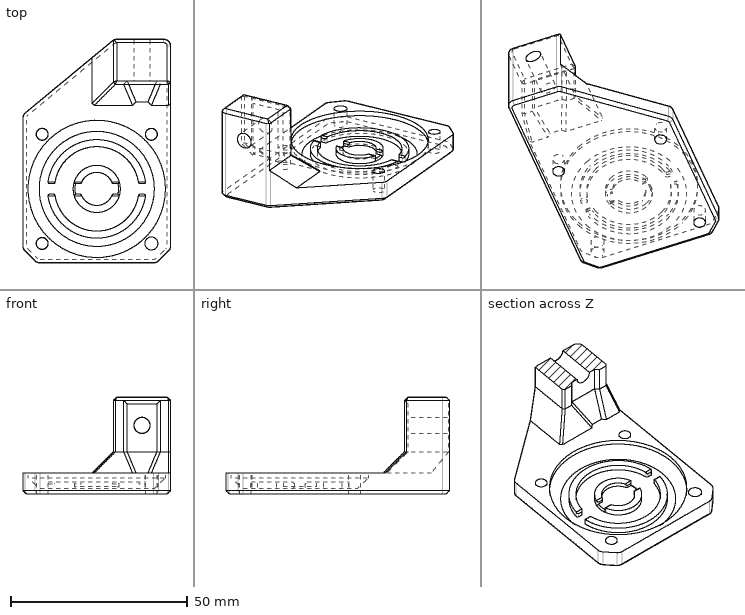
import cadquery as cq

plate_width = 42.0
front_y = -21.0
back_y = 42.5
plate_thickness = 6.0
front_corner_cut = 4.0
slope_start_y = 21.0
slope_end_x = 5.0
outline_radius = 2.0
edge_chamfer = 1.0
half_width = plate_width / 2

post_height = 27.55
post_left_x = 4.7
post_front_y = 29.7
foot_flare = 6.0
foot_top_z = plate_thickness + foot_flare
post_corner_chamfer = 0.6

post_center_x = (post_left_x + half_width) / 2
channel_mouth_half_width = 5.2
channel_foot_half_width = 2.7
channel_depth = 1.0
channel_top_z = post_height - edge_chamfer
post_hole_diameter = 4.5
post_hole_z = 19.5

screw_offset = 15.5
screw_diameter = 3.3
blind_hole_diameter = 3.7
blind_hole_depth = 5.0

bowl_diameter = 39.0
bowl_floor_radius = 16.35
bowl_rim_depth = 1.4
bowl_floor_z = 1.6

ring_height = 1.75
outer_ring_radii = (14.0, 12.0)
inner_ring_radii = (6.7, 4.7)
slot_width = 3.0
slot_chamfer = 0.5
ring_end_radius = 0.5
disc_height = 0.5
disc_chamfer = 0.5


def make_outline(height):
    """Plate outline with rounded corners, extruded up from z = 0."""
    prism = (
        cq.Workplane("XY")
        .moveTo(-half_width + front_corner_cut, front_y)
        .lineTo(half_width - front_corner_cut, front_y)
        .lineTo(half_width, front_y + front_corner_cut)
        .lineTo(half_width, back_y)
        .lineTo(slope_end_x, back_y)
        .lineTo(-half_width, slope_start_y)
        .lineTo(-half_width, front_y + front_corner_cut)
        .close()
        .extrude(height)
    )
    return prism.edges("|Z").fillet(outline_radius)


def ruled_solid(section_a, section_b):
    """Solid with flat sides between two matching loops of 3D points."""
    wires = [cq.Wire.makePolygon([cq.Vector(*p) for p in s], close=True) for s in (section_a, section_b)]
    return cq.Workplane(cq.Solid.makeLoft(wires, True))


def post_section(flare, z):
    """Post section with its front corners cut, grown by flare to the left and front."""
    left = post_left_x - flare
    front = post_front_y - flare
    cut = post_corner_chamfer
    return [
        (left + cut, front, z),
        (half_width - cut, front, z),
        (half_width, front + cut, z),
        (half_width, back_y, z),
        (left, back_y, z),
        (left, front + cut, z),
    ]


def make_post():
    foot = ruled_solid(post_section(foot_flare, plate_thickness), post_section(0, foot_top_z))
    shaft = cq.Workplane("XY").polyline(post_section(0, foot_top_z)).close().extrude(post_height - foot_top_z)
    shaft = shaft.edges("|Z and >X and >Y").fillet(outline_radius)
    shaft = shaft.faces(">Z").chamfer(edge_chamfer)
    return foot.union(shaft)


def channel_section(mouth_half_width, mouth_y, z):
    """Horizontal channel section with 45 degree sides."""
    floor_half_width = mouth_half_width - channel_depth
    floor_y = mouth_y + channel_depth
    return [
        (post_center_x - mouth_half_width, mouth_y, z),
        (post_center_x + mouth_half_width, mouth_y, z),
        (post_center_x + floor_half_width, floor_y, z),
        (post_center_x - floor_half_width, floor_y, z),
    ]


def channel_face(inset):
    """Upright channel rectangle, shrunk at the sides and top by its depth into the post."""
    half = channel_mouth_half_width - inset
    y = post_front_y + inset
    top = channel_top_z - inset
    return [
        (post_center_x - half, y, foot_top_z),
        (post_center_x + half, y, foot_top_z),
        (post_center_x + half, y, top),
        (post_center_x - half, y, top),
    ]


def make_channel():
    upper = ruled_solid(channel_face(0), channel_face(channel_depth))
    lower = ruled_solid(
        channel_section(channel_foot_half_width, post_front_y - foot_flare, plate_thickness),
        channel_section(channel_mouth_half_width, post_front_y, foot_top_z),
    )
    return upper.union(lower)


def make_post_hole():
    return (
        cq.Workplane("XZ", origin=(post_center_x, back_y, post_hole_z))
        .circle(post_hole_diameter / 2)
        .extrude(back_y - post_front_y)
    )


def make_screw_holes():
    through_points = [
        (-screw_offset, screw_offset),
        (screw_offset, screw_offset),
        (-screw_offset, -screw_offset),
    ]
    through = (
        cq.Workplane("XY")
        .pushPoints(through_points)
        .circle(screw_diameter / 2)
        .extrude(plate_thickness)
    )
    blind = (
        cq.Workplane("XY", origin=(screw_offset, -screw_offset, plate_thickness))
        .circle(blind_hole_diameter / 2)
        .extrude(-blind_hole_depth)
    )
    return through.union(blind)


def make_bowl():
    rim_radius = bowl_diameter / 2
    return (
        cq.Workplane("XZ")
        .moveTo(0, bowl_floor_z)
        .lineTo(bowl_floor_radius, bowl_floor_z)
        .lineTo(rim_radius, plate_thickness - bowl_rim_depth)
        .lineTo(rim_radius, plate_thickness)
        .lineTo(0, plate_thickness)
        .close()
        .revolve(360, (0, 0, 0), (0, 1, 0))
    )


def make_slot():
    """Straight slot along X across a ring, from the bowl floor up."""
    slot = cq.Workplane("XY", origin=(0, 0, bowl_floor_z))
    return slot.rect(bowl_diameter, slot_width).extrude(ring_height)


def make_slot_bevel():
    """Flared top of the slot, cutting the chamfers on the ring ends."""
    top_z = bowl_floor_z + ring_height
    half_slot = slot_width / 2
    return (
        cq.Workplane("YZ", origin=(-bowl_diameter / 2, 0, 0))
        .moveTo(-half_slot, top_z - slot_chamfer)
        .lineTo(half_slot, top_z - slot_chamfer)
        .lineTo(half_slot + slot_chamfer, top_z)
        .lineTo(-half_slot - slot_chamfer, top_z)
        .close()
        .extrude(bowl_diameter)
    )


def make_split_ring(radii):
    """Ring in two halves, with rounded upright corners and chamfered tops at the slot."""
    ring = (
        cq.Workplane("XY", origin=(0, 0, bowl_floor_z))
        .circle(radii[0])
        .circle(radii[1])
        .extrude(ring_height)
    )
    halves = ring.cut(make_slot())
    halves = halves.faces("|Y").edges("|Z").fillet(ring_end_radius)
    return halves.cut(make_slot_bevel())


def make_center_disc():
    """Low disc with a chamfered rim that fills the inner ring."""
    disc = cq.Workplane("XY", origin=(0, 0, bowl_floor_z)).circle(inner_ring_radii[0])
    return disc.workplane(offset=disc_height).circle(inner_ring_radii[0] - disc_chamfer).loft()


plate = make_outline(plate_thickness).faces("<Z").chamfer(edge_chamfer)
post = make_post().intersect(make_outline(post_height)).cut(make_channel())
rings = make_split_ring(outer_ring_radii).union(make_split_ring(inner_ring_radii))

result = (
    plate.union(post)
    .cut(make_post_hole())
    .cut(make_bowl())
    .cut(make_screw_holes())
    .union(rings)
    .union(make_center_disc())
)